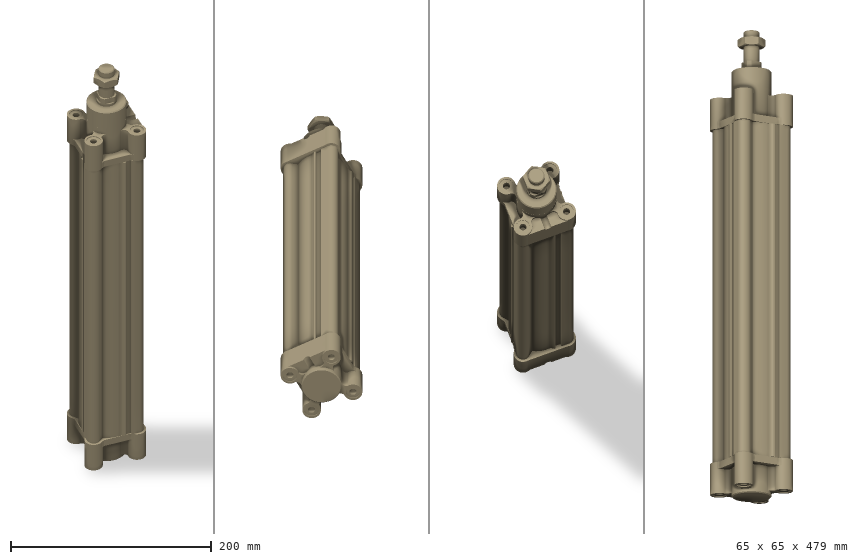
import cadquery as cq
import math

total_height = 479.0
spigot_height = 4.0
cap_height = 32.0
barrel_length = 343.0
rear_cap_bottom = spigot_height
rear_cap_top = rear_cap_bottom + cap_height
front_cap_bottom = rear_cap_top + barrel_length
front_cap_top = front_cap_bottom + cap_height

cap_size = 65.0
bolt_offset = 23.25
post_radius = cap_size / 2 - bolt_offset
plate_half_width = 28.5
flare_start = 14.0
flare_end = 17.0
flare_depth = 30.0
plate_thickness = 7.3
boss_diameter = 40.0
boss_chamfer = 1.0
pocket_half_width = 14.3
pocket_floor = 18.3
pocket_corner_radius = 5.0
pocket_depth = 10.0
port_block_face = 32.3
block_inner_face = 15.0
port_block_drop = 2.5
port_groove_diameter = 7.0

recess_diameter = 14.0
recess_depth = 1.0
screw_hole_diameter = 7.0
screw_hole_depth = 12.0

boss_plain_height = 7.0
collar_height = 20.0
collar_diameter = 39.9
collar_top = front_cap_top + boss_plain_height + collar_height

lobe_radius = 6.8
wall_radius = 28.0
barrel_half_width = bolt_offset + lobe_radius
lobe_end = -18.0
wall_start = -13.7
rib_start = 3.0
rib_middle = 5.6
rib_middle_depth = 28.6
rib_tip_start = 7.5
rib_tip_end = 9.0
slot_floor = 27.5
slot_end = 15.0

thread_diameter = 16.0
thread_length = 32.0
thread_chamfer = 1.0
rod_diameter = 20.0
flat_size = 17.0
flat_height = 6.0

nut_width = 24.0
nut_height = 8.5
nut_top_gap = 7.5
nut_chamfer_angle = 30.0

post_centres = [(sx * bolt_offset, sy * bolt_offset) for sx in (-1, 1) for sy in (-1, 1)]


def cylinder(diameter, bottom, height):
    return cq.Workplane("XY").workplane(offset=bottom).circle(diameter / 2).extrude(height)


def slab(x_size, y_size, bottom, height):
    return cq.Workplane("XY").workplane(offset=bottom).rect(x_size, y_size).extrude(height)


def on_side(side, x, y):
    """Point of the -Y side turned to the given side, counted in quarter turns."""
    for _ in range(side):
        x, y = -y, x
    return x, y


def make_plate():
    """Square plate whose sides flare out where they meet the posts."""
    side_points = [
        (-flare_end, -flare_depth),
        (-flare_start, -plate_half_width),
        (flare_start, -plate_half_width),
        (flare_end, -flare_depth),
    ]
    outline = [on_side(side, x, y) for side in range(4) for x, y in side_points]
    return cq.Workplane("XY").polyline(outline).close().extrude(plate_thickness)


def make_webs():
    """Webs joining the posts to the boss: a square with a round-cornered pocket in each side."""
    webs = slab(2 * bolt_offset, 2 * bolt_offset, 0, cap_height)
    for side in range(4):
        pocket = (
            cq.Workplane("XY")
            .center(0, -pocket_floor - pocket_depth / 2)
            .rect(2 * pocket_half_width, pocket_depth)
            .extrude(cap_height)
            .edges("|Z and >Y")
            .fillet(pocket_corner_radius)
            .rotate((0, 0, 0), (0, 0, 1), 90 * side)
        )
        webs = webs.cut(pocket)
    return webs


def make_port_block():
    """Block filling the +Y side between the posts, with a round groove along its top."""
    block_top = cap_height - port_block_drop
    block = (
        cq.Workplane("XY")
        .center(0, (block_inner_face + port_block_face) / 2)
        .rect(2 * bolt_offset, port_block_face - block_inner_face)
        .extrude(block_top)
    )
    groove = cq.Workplane("XZ").center(0, block_top).circle(port_groove_diameter / 2).extrude(-cap_size)
    return block.cut(groove)


def make_cap():
    """End cap standing on Z = 0, with its outer face at the top."""
    posts = cq.Workplane("XY").pushPoints(post_centres).circle(post_radius).extrude(cap_height)
    boss = cylinder(boss_diameter, 0, cap_height)
    cap = make_plate().union(make_webs()).union(make_port_block()).union(boss).union(posts)

    recesses = (
        cq.Workplane("XY")
        .workplane(offset=cap_height)
        .pushPoints(post_centres)
        .circle(recess_diameter / 2)
        .extrude(-recess_depth)
    )
    holes = (
        cq.Workplane("XY")
        .workplane(offset=cap_height)
        .pushPoints(post_centres)
        .circle(screw_hole_diameter / 2)
        .extrude(-screw_hole_depth)
    )
    return cap.cut(recesses).cut(holes)


def make_barrel():
    """Extruded barrel whose four sides repeat every 90 degrees."""

    def wall_point(x):
        return x, -math.sqrt(wall_radius**2 - x**2)

    def lobe_point(x):
        return x, -bolt_offset - math.sqrt(lobe_radius**2 - (x + bolt_offset) ** 2)

    lobe_middle = -bolt_offset - lobe_radius * math.sqrt(0.5)
    wall_middle = (wall_start + rib_start) / 2
    profile = cq.Workplane("XY").workplane(offset=rear_cap_top)
    profile = profile.moveTo(-barrel_half_width, -bolt_offset)
    for side in range(4):
        def at(point):
            return on_side(side, *point)

        profile = (
            profile.threePointArc(at((lobe_middle, lobe_middle)), at(lobe_point(lobe_end)))
            .lineTo(*at(wall_point(wall_start)))
            .threePointArc(at(wall_point(wall_middle)), at(wall_point(rib_start)))
            .threePointArc(at((rib_middle, -rib_middle_depth)), at((rib_tip_start, -barrel_half_width)))
            .lineTo(*at((rib_tip_end, -barrel_half_width)))
            .lineTo(*at((rib_tip_end, -slot_floor)))
            .lineTo(*at((slot_end, -slot_floor)))
            .lineTo(*at((slot_end, -barrel_half_width)))
            .lineTo(*at((bolt_offset, -barrel_half_width)))
        )
    return profile.close().extrude(barrel_length)


def make_housing():
    cap = make_cap()
    front_cap = cap.translate((0, 0, front_cap_bottom))
    rear_cap = cap.mirror("XY").translate((0, 0, rear_cap_top))
    spigot = cylinder(boss_diameter, 0, spigot_height).faces("<Z").chamfer(boss_chamfer)
    boss = cylinder(boss_diameter, front_cap_top, boss_plain_height)
    collar = cylinder(collar_diameter, front_cap_top + boss_plain_height, collar_height)
    collar = collar.faces(">Z").chamfer(boss_chamfer)
    rod_hole = cylinder(rod_diameter, front_cap_bottom, collar_top - front_cap_bottom)
    housing = make_barrel().union(front_cap).union(rear_cap)
    housing = housing.union(spigot).union(boss).union(collar)
    return housing.cut(rod_hole)


def make_rod():
    shoulder = total_height - thread_length
    thread = cylinder(thread_diameter, shoulder, thread_length).faces(">Z").chamfer(thread_chamfer)
    flats_bottom = shoulder - flat_height
    shank = cylinder(rod_diameter, front_cap_bottom, flats_bottom - front_cap_bottom)
    flats = cylinder(rod_diameter, flats_bottom, flat_height).intersect(
        slab(flat_size, flat_size, flats_bottom, flat_height)
    )
    return shank.union(flats).union(thread)


def make_nut():
    """Hexagon nut with its flats facing X and the corners of both ends chamfered."""
    corner_radius = nut_width / math.sqrt(3)
    bevel = (corner_radius - nut_width / 2) * math.tan(math.radians(nut_chamfer_angle))
    bottom = total_height - nut_top_gap - nut_height
    hexagon = (
        cq.Workplane("XY")
        .workplane(offset=bottom)
        .polygon(6, 2 * corner_radius)
        .extrude(nut_height)
        .rotate((0, 0, 0), (0, 0, 1), 90)
    )
    envelope = (
        cq.Workplane("XZ")
        .moveTo(0, bottom)
        .lineTo(nut_width / 2, bottom)
        .lineTo(corner_radius, bottom + bevel)
        .lineTo(corner_radius, bottom + nut_height - bevel)
        .lineTo(nut_width / 2, bottom + nut_height)
        .lineTo(0, bottom + nut_height)
        .close()
        .revolve(360, (0, 0, 0), (0, 1, 0))
    )
    return hexagon.intersect(envelope).cut(cylinder(thread_diameter, bottom, nut_height))


housing = make_housing()
rod = make_rod()
nut = make_nut()
result = cq.Compound.makeCompound([housing.val(), rod.val(), nut.val()])